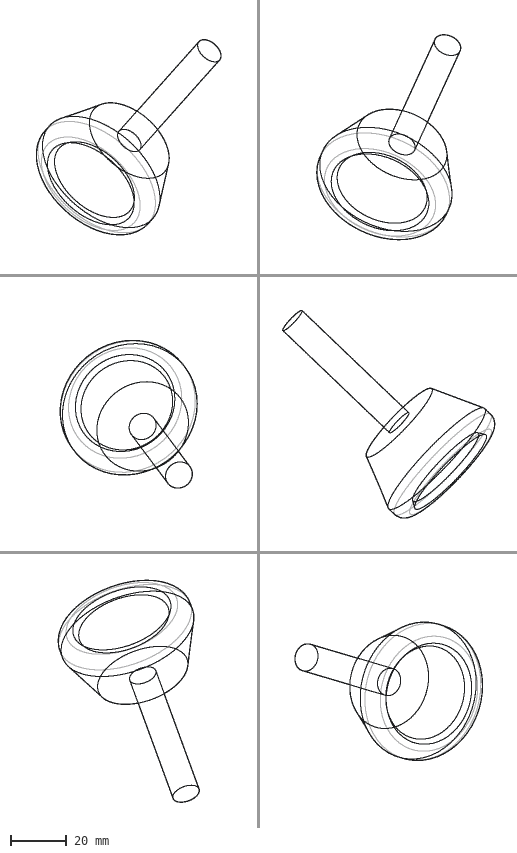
import cadquery as cq

total_length = 80.0
rod_diameter = 10.0

head_diameter = 50.0
head_length = 26.0
back_diameter = 34.0
rim_length = 7.0
rim_rounding = 4.0

recess_mouth_diameter = 36.9
recess_floor_diameter = 34.0
recess_depth = 2.5


def along_y(start):
    """Workplane across the knob axis, its normal pointing toward +Y."""
    return cq.Workplane(cq.Plane(origin=(0, start, 0), xDir=(1, 0, 0), normal=(0, 1, 0)))


def make_head():
    rim = along_y(0).circle(head_diameter / 2).extrude(rim_length)
    rim = rim.faces("<Y").edges().fillet(rim_rounding)
    taper = (
        along_y(rim_length)
        .circle(head_diameter / 2)
        .workplane(offset=head_length - rim_length)
        .circle(back_diameter / 2)
        .loft()
    )
    return rim.union(taper)


def make_rod():
    return along_y(head_length).circle(rod_diameter / 2).extrude(total_length - head_length)


def make_recess():
    return (
        along_y(0)
        .circle(recess_mouth_diameter / 2)
        .workplane(offset=recess_depth)
        .circle(recess_floor_diameter / 2)
        .loft()
    )


result = make_head().union(make_rod()).cut(make_recess())